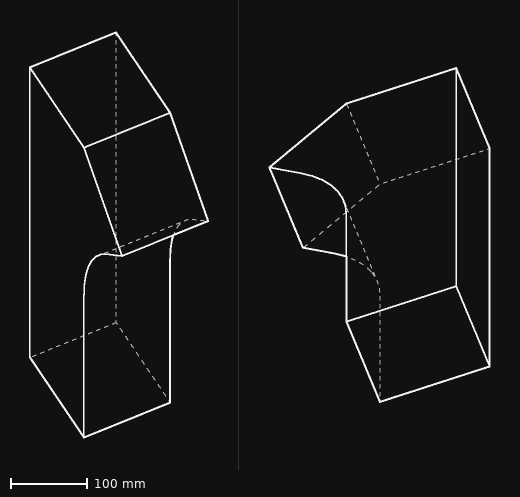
import math

import cadquery as cq

height = 600.0
depth = 127.0
total_width = 260.5
column_width = 153.0
underside_radius = 218.5
nose_angle = math.radians(45)

overhang = total_width - column_width
tip_height = height - overhang * math.tan(nose_angle)

arc_run = underside_radius * (1 - math.cos(nose_angle))
arc_rise = underside_radius * math.sin(nose_angle)
straight_rise = (overhang - arc_run) / math.tan(nose_angle)
arc_start_height = tip_height - straight_rise - arc_rise

profile = (
    cq.Workplane("XZ")
    .lineTo(column_width, 0)
    .lineTo(column_width, arc_start_height)
    .tangentArcPoint((arc_run, arc_rise), relative=True)
    .lineTo(total_width, tip_height)
    .lineTo(column_width, height)
    .lineTo(0, height)
    .close()
)

result = profile.extrude(depth / 2, both=True)